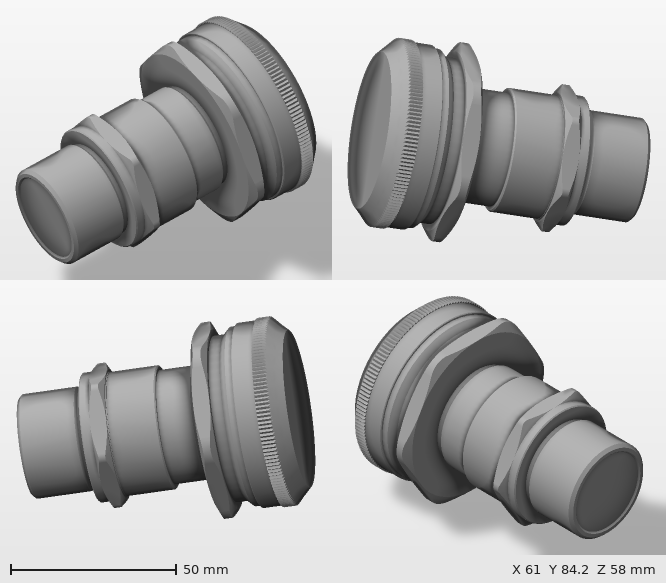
import cadquery as cq
import math

overall_length = 84.25

front_thread_dia = 32.0
front_thread_rear = 17.9
front_chamfer = 1.0
front_neck_dia = 30.4
mouth_dia = 27.6
mouth_chamfer = 0.5

collar_dia = 39.8
collar_front = 20.05
collar_chamfer = 0.3
small_hex_front = 23.1
small_hex_rear = 28.2
small_hex_corner_radius = 2.8
small_hex_relief_angle = 30.0

shoulder_dia = 38.4
shoulder_rear = 28.6

barrel_dia = 38.0
barrel_rear = 43.6
barrel_chamfer = 0.4
rear_thread_dia = 35.0
rear_thread_rear = 54.1
rear_neck_dia = 33.4

large_hex_flats = 55.0
large_hex_front = 56.4
large_hex_rear = 61.5
large_hex_corner_radius = 8.25
large_hex_relief_angle = 25.0

head_neck_dia = 51.0
head_neck_rear = 64.95
flange_dia = large_hex_flats
flange_rear = 69.1
head_dia = 56.7
head_chamfer = 0.25
rim_dia = 58.0
rim_front = 75.6
rear_face_dia = 48.3
tooth_count = 144


def turned(outline):
    """Revolve closed (radius, y) points about the Y axis."""
    return cq.Workplane("XY").polyline(outline).close().revolve(360, (0, 0, 0), (0, 1, 0))


def prism_plane(y):
    """Plane across the axis at y, with its normal toward +Y."""
    return cq.Workplane(cq.Plane(origin=(0, y, 0), xDir=(1, 0, 0), normal=(0, 1, 0)))


def hexagon(flats, front, rear, corner_radius, relief_angle):
    """Nut with flats facing +Z and -Z, rounded corners and a relief cone on each face."""
    corner_dia = flats / math.cos(math.radians(30))
    nut = prism_plane(front).polygon(6, corner_dia).extrude(rear - front)
    nut = nut.edges("|Y").fillet(corner_radius)
    slope = math.tan(math.radians(relief_angle))
    corner = corner_dia / 2
    face_circle = flats / 2
    relief = (corner - face_circle) * slope
    envelope = turned([
        (0, front),
        (face_circle, front),
        (corner, front + relief),
        (corner, rear - relief),
        (face_circle, rear),
        (0, rear),
    ])
    return nut.intersect(envelope)


def body():
    """All plain turned steps from the threaded front end to the head."""
    front_run_out = (front_thread_dia - front_neck_dia) / 2
    rear_run_out = (rear_thread_dia - rear_neck_dia) / 2
    flange_cone = (flange_dia - head_neck_dia) / 2
    return turned([
        (0, mouth_chamfer),
        (mouth_dia / 2 - mouth_chamfer, mouth_chamfer),
        (mouth_dia / 2, 0),
        (front_thread_dia / 2 - front_chamfer, 0),
        (front_thread_dia / 2, front_chamfer),
        (front_thread_dia / 2, front_thread_rear),
        (front_neck_dia / 2, front_thread_rear + front_run_out),
        (front_neck_dia / 2, collar_front),
        (collar_dia / 2 - collar_chamfer, collar_front),
        (collar_dia / 2, collar_front + collar_chamfer),
        (collar_dia / 2, small_hex_front),
        (shoulder_dia / 2, small_hex_front),
        (shoulder_dia / 2, shoulder_rear),
        (barrel_dia / 2, shoulder_rear),
        (barrel_dia / 2, barrel_rear - barrel_chamfer),
        (barrel_dia / 2 - barrel_chamfer, barrel_rear),
        (rear_thread_dia / 2, barrel_rear),
        (rear_thread_dia / 2, rear_thread_rear),
        (rear_neck_dia / 2, rear_thread_rear + rear_run_out),
        (rear_neck_dia / 2, large_hex_rear),
        (head_neck_dia / 2, large_hex_rear),
        (head_neck_dia / 2, head_neck_rear),
        (flange_dia / 2, head_neck_rear + flange_cone),
        (flange_dia / 2, flange_rear),
        (head_dia / 2 - head_chamfer, flange_rear),
        (head_dia / 2, flange_rear + head_chamfer),
        (head_dia / 2, rim_front),
        (0, rim_front),
    ])


def knurled_rim():
    """Rim of V-shaped teeth, bevelled at 45 degrees toward the rear face."""
    half_pitch = math.pi / tooth_count
    outline = []
    for tooth in range(tooth_count):
        groove = 2 * tooth * half_pitch
        for radius, angle in ((head_dia / 2, groove), (rim_dia / 2, groove + half_pitch)):
            outline.append((radius * math.cos(angle), radius * math.sin(angle)))
    rim = prism_plane(rim_front).polyline(outline).close().extrude(overall_length - rim_front)
    bevel = (rim_dia - rear_face_dia) / 2
    envelope = turned([
        (0, rim_front),
        (rim_dia / 2, rim_front),
        (rim_dia / 2, overall_length - bevel),
        (rear_face_dia / 2, overall_length),
        (0, overall_length),
    ])
    return rim.intersect(envelope)


small_hex = hexagon(
    collar_dia, small_hex_front, small_hex_rear, small_hex_corner_radius, small_hex_relief_angle
)
large_hex = hexagon(
    large_hex_flats, large_hex_front, large_hex_rear, large_hex_corner_radius, large_hex_relief_angle
)
result = body().union(small_hex).union(large_hex).union(knurled_rim())